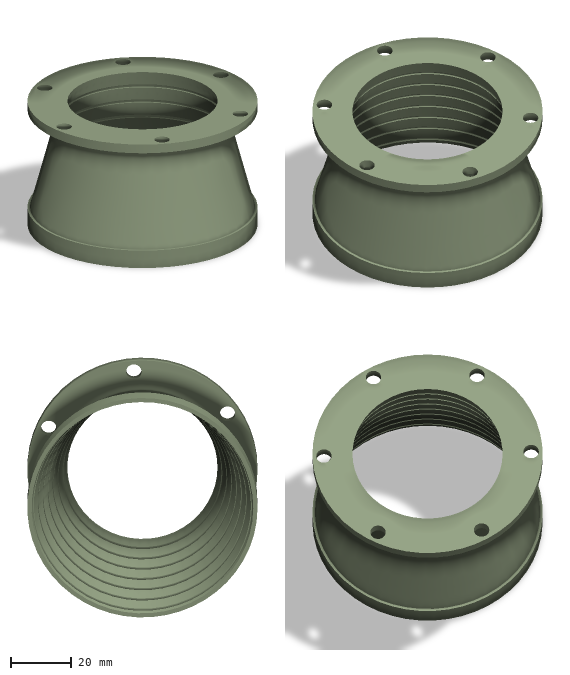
import cadquery as cq
import math

height = 44.2
flange_radius = 38.1
flange_thickness = 3.1
base_rim_height = 2 * flange_thickness

flare_angle = 15.0
flare = math.tan(math.radians(flare_angle))
body_base_radius = 37.25
neck_fillet = 1.5
bore_top_radius = 24.85

hole_count = 6
hole_diameter = 5.1
bolt_circle_radius = 34.3

groove_count = 7
groove_pitch = 6.1
groove_height = 1.2
groove_depth = 0.8


def bore_radius(z):
    """Radius of the flared bore at height z."""
    return bore_top_radius + (height - z) * flare


def frustum(bottom_radius, top_radius, bottom, top):
    """Cone frustum around Z between two heights."""
    profile = [(0, bottom), (bottom_radius, bottom), (top_radius, top), (0, top)]
    return cq.Workplane("XZ").polyline(profile).close().revolve(360, (0, 0), (0, 1))


def make_outer_body():
    """Base rim, tapered wall, filleted neck and top flange."""
    flange_bottom = height - flange_thickness
    neck_radius = body_base_radius - (flange_bottom - base_rim_height) * flare
    angle = math.radians(flare_angle)
    center_z = flange_bottom - neck_fillet
    wall_radius = neck_radius + neck_fillet * flare
    center_r = wall_radius + neck_fillet / math.cos(angle)

    def fillet_point(direction):
        return (center_r + neck_fillet * math.cos(direction),
                center_z + neck_fillet * math.sin(direction))

    fillet_start = math.pi + angle
    fillet_end = math.pi / 2
    fillet_middle = (fillet_start + fillet_end) / 2
    return (
        cq.Workplane("XZ")
        .moveTo(0, 0)
        .lineTo(flange_radius, 0)
        .lineTo(flange_radius, base_rim_height)
        .lineTo(body_base_radius, base_rim_height)
        .lineTo(*fillet_point(fillet_start))
        .threePointArc(fillet_point(fillet_middle), fillet_point(fillet_end))
        .lineTo(flange_radius, flange_bottom)
        .lineTo(flange_radius, height)
        .lineTo(0, height)
        .close()
        .revolve(360, (0, 0), (0, 1))
    )


def make_bore():
    """Flared bore together with its ring grooves."""
    bore = frustum(bore_radius(0), bore_top_radius, 0, height)
    for index in range(1, groove_count + 1):
        bottom = height - index * groove_pitch
        top = bottom + groove_height
        groove_radius = bore_radius(bottom) + groove_depth
        bore = bore.union(frustum(groove_radius, groove_radius, bottom, top))
    return bore


def make_bolt_holes():
    """Bolt holes that end at the flange underside."""
    return (
        cq.Workplane("XY", origin=(0, 0, height - flange_thickness))
        .polarArray(bolt_circle_radius, 0, 360, hole_count)
        .circle(hole_diameter / 2)
        .extrude(flange_thickness)
    )


result = make_outer_body().cut(make_bore()).cut(make_bolt_holes())